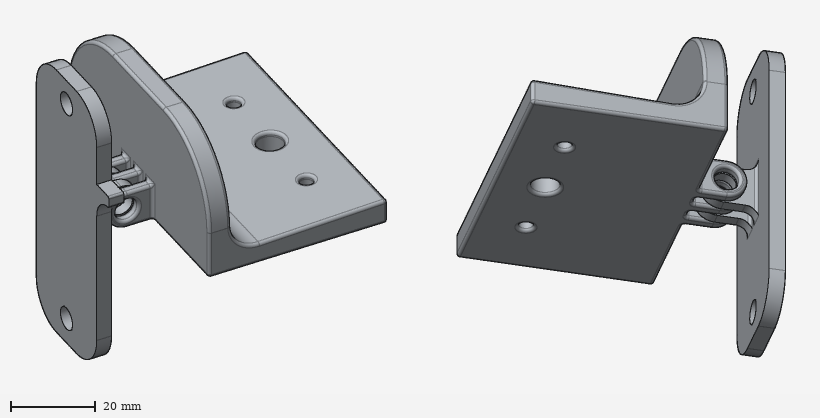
import cadquery as cq
import math


hinge_width = 15.0
finger_count = 5
finger_width = hinge_width / finger_count
knuckle_radius = 5.0
bolt_hole_diameter = 6.0

bracket_width = 70.0
bracket_height = 35.25
back_y = 6.95
upright_thickness = 6.0
upright_corner_radius = 22.5
shelf_end_y = 55.0
shelf_end_thickness = 6.6
shelf_slope = math.radians(1.7)
inner_radius = 7.5
edge_radius = 0.8
smooth_cosine = 0.99

hole_row_y = 42.45
center_hole_diameter = 7.0
side_hole_diameter = 3.55
side_hole_offset = 18.0

plate_width = 30.0
plate_height = 75.65
plate_thickness = 4.0
plate_front_y = -12.25
plate_top_z = 36.85
plate_corner_radius = 10.0
upper_hole_z = 30.2
plate_hole_spacing = 61.95
plate_knuckle_flare = 3.0
plate_finger_side_radius = 0.8

hook_length = 6.05
hook_top_z = 16.2
hook_tip_height = 3.1
hook_tip_radius = 0.5

bracket_bottom_z = -knuckle_radius
bracket_top_z = bracket_bottom_z + bracket_height
upright_inner_y = back_y + upright_thickness
plate_back_y = plate_front_y + plate_thickness
bracket_finger_xs = [-2 * finger_width, 0, 2 * finger_width]
plate_finger_xs = [-finger_width, finger_width]


def box(x0, x1, y0, y1, z0, z1):
    """Box between the given limits."""
    return cq.Workplane("XY").box(x1 - x0, y1 - y0, z1 - z0, centered=False).translate((x0, y0, z0))


def bar_along_x(diameter, length):
    """Round bar on the hinge axis, centred on X = 0."""
    return cq.Workplane("YZ").circle(diameter / 2).extrude(length / 2, both=True)


def bracket_blank():
    """Sloped shelf and round-shouldered upright, joined by a large inner fillet."""
    shelf_end_z = bracket_bottom_z + shelf_end_thickness
    corner_z = shelf_end_z - (shelf_end_y - upright_inner_y) * math.tan(shelf_slope)
    profile = (
        cq.Workplane("YZ")
        .moveTo(back_y, bracket_bottom_z)
        .lineTo(shelf_end_y, bracket_bottom_z)
        .lineTo(shelf_end_y, shelf_end_z)
        .lineTo(upright_inner_y, corner_z)
        .lineTo(upright_inner_y, bracket_top_z)
        .lineTo(back_y, bracket_top_z)
        .close()
        .extrude(bracket_width / 2, both=True)
    )
    inner_corner = cq.selectors.NearestToPointSelector((0, upright_inner_y, corner_z))
    profile = profile.edges(inner_corner).fillet(inner_radius)
    return profile.edges("|Y and >Z").fillet(upright_corner_radius)


def bracket_finger(x):
    """Knuckle standing on the back of the upright."""
    arm = box(-finger_width / 2, finger_width / 2, 0, back_y, -knuckle_radius, knuckle_radius)
    return arm.union(bar_along_x(2 * knuckle_radius, finger_width)).translate((x, 0, 0))


def drilled_shelf(body):
    """Body with the row of three holes cut through its shelf."""
    holes = [
        (-side_hole_offset, side_hole_diameter),
        (0, center_hole_diameter),
        (side_hole_offset, side_hole_diameter),
    ]
    for x, diameter in holes:
        hole = cq.Workplane("XY").center(x, hole_row_y).circle(diameter / 2)
        body = body.cut(hole.extrude(bracket_height, both=True))
    return body


def sharp_edges(solid):
    """Edges whose two neighbouring faces do not run smoothly into each other."""
    edges = []
    for edge in solid.Edges():
        faces = edge.ancestors(solid, "Face").Faces()
        if len(faces) == 2:
            middle = edge.positionAt(0.5)
            first, second = [face.normalAt(middle) for face in faces]
            if first.dot(second) < smooth_cosine:
                edges.append(edge)
    return edges


def finger_root_edges(solid):
    """Upright and top edges where the bracket's knuckles meet its back face."""
    return [
        edge
        for edge in solid.Edges()
        if abs(edge.Center().y - back_y) < edge_radius / 2
        and abs(edge.Center().x) < hinge_width
        and bracket_bottom_z + edge_radius < edge.Center().z < knuckle_radius + edge_radius
    ]


def make_bracket():
    """Bracket with three knuckles; its knuckle roots and then all other sharp edges are rounded."""
    body = bracket_blank()
    for x in bracket_finger_xs:
        body = body.union(bracket_finger(x))
    body = body.cut(bar_along_x(bolt_hole_diameter, hinge_width))
    solid = drilled_shelf(body).val()
    solid = solid.fillet(edge_radius, finger_root_edges(solid))
    return cq.Workplane(solid.fillet(edge_radius, sharp_edges(solid)))


def hook():
    """Tab on the plate's +X side, square on top and swept into the side below."""
    side_x = plate_width / 2
    tip_x = side_x + hook_length
    under_z = hook_top_z - hook_tip_height
    sweep_middle = hook_length * math.sqrt(0.5)
    return (
        cq.Workplane("XZ", origin=(0, plate_back_y, 0))
        .moveTo(0, hook_top_z)
        .lineTo(tip_x, hook_top_z)
        .lineTo(tip_x, under_z)
        .threePointArc(
            (tip_x - sweep_middle, under_z - hook_length + sweep_middle),
            (side_x, under_z - hook_length),
        )
        .lineTo(0, under_z - hook_length)
        .close()
        .extrude(plate_thickness)
        .edges("|Y and >X")
        .fillet(hook_tip_radius)
    )


def plate_finger(x):
    """Knuckle that flares into the plate: a side outline and a top outline, intersected."""
    half_width = finger_width / 2
    flare_y = plate_back_y + plate_knuckle_flare
    flare_z = knuckle_radius + plate_knuckle_flare
    flare_middle = plate_knuckle_flare * (1 - math.sqrt(0.5))
    side_outline = (
        cq.Workplane("YZ")
        .moveTo(plate_back_y, -flare_z)
        .threePointArc(
            (plate_back_y + flare_middle, -knuckle_radius - flare_middle), (flare_y, -knuckle_radius)
        )
        .lineTo(0, -knuckle_radius)
        .threePointArc((knuckle_radius, 0), (0, knuckle_radius))
        .lineTo(flare_y, knuckle_radius)
        .threePointArc(
            (plate_back_y + flare_middle, knuckle_radius + flare_middle), (plate_back_y, flare_z)
        )
        .close()
        .extrude(finger_width, both=True)
    )
    root_x = half_width + plate_finger_side_radius
    root_y = plate_back_y + plate_finger_side_radius
    root_middle = plate_finger_side_radius * (1 - math.sqrt(0.5))
    top_outline = (
        cq.Workplane("XY")
        .moveTo(-root_x, plate_back_y)
        .threePointArc((-half_width - root_middle, plate_back_y + root_middle), (-half_width, root_y))
        .lineTo(-half_width, knuckle_radius)
        .lineTo(half_width, knuckle_radius)
        .lineTo(half_width, root_y)
        .threePointArc((half_width + root_middle, plate_back_y + root_middle), (root_x, plate_back_y))
        .close()
        .extrude(flare_z, both=True)
    )
    return side_outline.intersect(top_outline).translate((x, 0, 0))


def make_plate():
    """Rounded plate with two screw holes, a side hook and two knuckles."""
    body = box(
        -plate_width / 2,
        plate_width / 2,
        plate_front_y,
        plate_back_y,
        plate_top_z - plate_height,
        plate_top_z,
    )
    body = body.edges("|Y").fillet(plate_corner_radius).union(hook())
    for z in (upper_hole_z, upper_hole_z - plate_hole_spacing):
        hole = cq.Workplane("XZ", origin=(0, plate_back_y, 0)).center(0, z)
        body = body.cut(hole.circle(bolt_hole_diameter / 2).extrude(plate_thickness))
    for x in plate_finger_xs:
        body = body.union(plate_finger(x))
    return body.cut(bar_along_x(bolt_hole_diameter, hinge_width))


bracket = make_bracket()
plate = make_plate()
result = cq.Compound.makeCompound([bracket.solids().val(), plate.solids().val()])